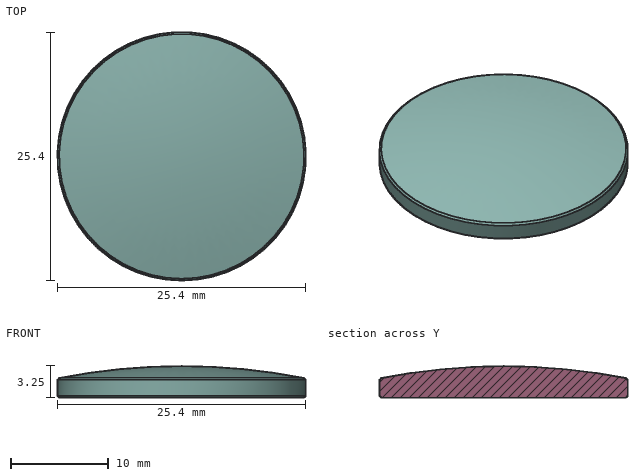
import cadquery as cq

diameter = 25.4
centre_thickness = 3.25
dome_height = 1.22
chamfer = 0.2

outer_radius = diameter / 2
face_radius = outer_radius - chamfer
dome_base = centre_thickness - dome_height

sphere_radius = (face_radius**2 + dome_height**2) / (2 * dome_height)
arc_mid_radius = face_radius / 2
sphere_centre = centre_thickness - sphere_radius
arc_mid_height = sphere_centre + (sphere_radius**2 - arc_mid_radius**2) ** 0.5

half_section = (
    cq.Workplane("YZ")
    .moveTo(0, 0)
    .lineTo(-face_radius, 0)
    .lineTo(-outer_radius, chamfer)
    .lineTo(-outer_radius, dome_base - chamfer)
    .lineTo(-face_radius, dome_base)
    .threePointArc((-arc_mid_radius, arc_mid_height), (0, centre_thickness))
    .close()
)

result = half_section.revolve(360, (0, 0), (0, 1))